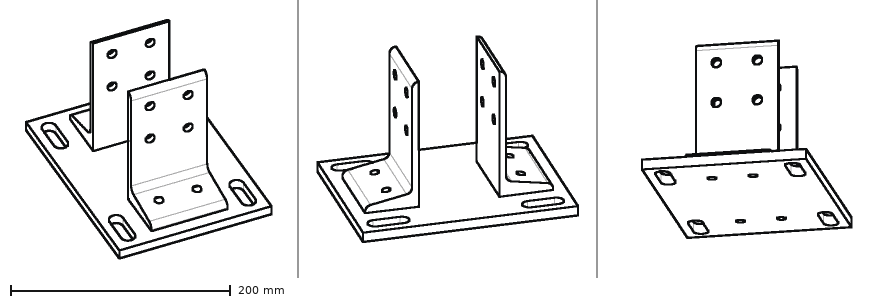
import cadquery as cq
import math

plate_length = 203.2
plate_width = 152.4
plate_thickness = 9.525

slot_width = 13.49375
slot_straight_length = 25.4
slot_length = slot_straight_length + slot_width
slot_center_x = 73.025
slot_center_y = 60.325

overall_height = 136.01
bracket_height = overall_height - plate_thickness
bracket_width = 76.2
bracket_gap = 76.2
bracket_back_x = bracket_gap / 2
wall_thickness = 6.35
round_radius = wall_thickness

foot_length = 50.8
foot_tip_height = 6.9
foot_root_height = 15.0
foot_tip_lift = 0.245

wall_hole_diameter = 8.73125
foot_hole_diameter = 7.9375
hole_pitch = 38.1
foot_hole_x = foot_length / 2
upper_hole_z = bracket_height - hole_pitch / 2
lower_hole_z = upper_hole_z - hole_pitch

foot_hole_depth = 12.03

SIDES = (-1, 1)


def four_corners(x, y):
    """Points mirrored about both center lines."""
    return [(side_x * x, side_y * y) for side_x in SIDES for side_y in SIDES]


def make_plate():
    """Flat plate with four slots and a bolt hole under each foot hole."""
    plate = cq.Workplane("XY").rect(plate_length, plate_width).extrude(plate_thickness)
    slots = (
        cq.Workplane("XY")
        .pushPoints(four_corners(slot_center_x, slot_center_y))
        .slot2D(slot_length, slot_width)
        .extrude(plate_thickness)
    )
    bolt_holes = (
        cq.Workplane("XY")
        .pushPoints(four_corners(bracket_back_x + foot_hole_x, hole_pitch / 2))
        .circle(foot_hole_diameter / 2)
        .extrude(plate_thickness)
    )
    return plate.cut(slots).cut(bolt_holes)


def make_angle():
    """Undrilled angle: wall back at X = 0, foot reaching toward +X, heel at Z = 0."""
    top_round_z = bracket_height - round_radius
    top_round_x = wall_thickness - round_radius
    diagonal = round_radius * math.sqrt(0.5)
    angle = (
        cq.Workplane("XZ")
        .lineTo(foot_length, foot_tip_lift)
        .lineTo(foot_length, foot_tip_height)
        .lineTo(wall_thickness, foot_root_height)
        .lineTo(wall_thickness, top_round_z)
        .threePointArc(
            (top_round_x + diagonal, top_round_z + diagonal),
            (top_round_x, bracket_height),
        )
        .close()
        .extrude(bracket_width / 2, both=True)
    )
    foot_tip_edge = cq.NearestToPointSelector((foot_length, 0, foot_tip_height))
    inner_corner_edge = cq.NearestToPointSelector((wall_thickness, 0, foot_root_height))
    angle = angle.edges("|Y").edges(foot_tip_edge).fillet(round_radius)
    return angle.edges("|Y").edges(inner_corner_edge).fillet(round_radius)


def make_bracket():
    """Drilled bracket in place on the +X side of the plate."""
    foot_holes = (
        cq.Workplane("XY")
        .pushPoints([(foot_hole_x, side * hole_pitch / 2) for side in SIDES])
        .circle(foot_hole_diameter / 2)
        .extrude(foot_hole_depth)
    )
    wall_holes = (
        cq.Workplane("YZ")
        .pushPoints(
            [(side * hole_pitch / 2, z) for side in SIDES for z in (lower_hole_z, upper_hole_z)]
        )
        .circle(wall_hole_diameter / 2)
        .extrude(wall_thickness)
    )
    bracket = make_angle().cut(foot_holes).cut(wall_holes)
    return bracket.translate((bracket_back_x, 0, plate_thickness))


plate = make_plate()

brackets = [make_bracket().rotate((0, 0, 0), (0, 0, 1), turn) for turn in (0, 180)]

result = cq.Compound.makeCompound([plate.val(), *[bracket.val() for bracket in brackets]])